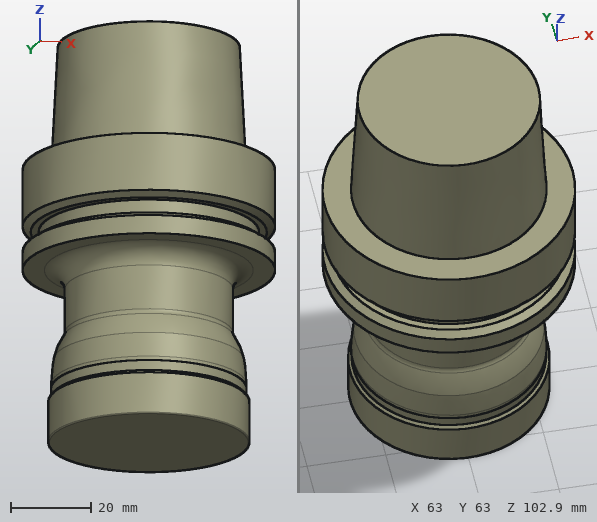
import cadquery as cq

TOTAL_HEIGHT = 102.9
FLANGE_TOP = 71.1
FLANGE_BOTTOM = 45.0
HEAD_HEIGHT = 14.1

SHANK_TOP_RADIUS = 45.5 / 2
SHANK_BASE_RADIUS = 48.8 / 2

FLANGE_RADIUS = 63.0 / 2
GROOVE_RADIUS = 55.0 / 2
GROOVE_TOP = 55.0
GROOVE_BOTTOM = 51.0
GROOVE_CHAMFER_HEIGHT = 1.3
GROOVE_CHAMFER_WIDTH = 2.1

NECK_RADIUS = 42.0 / 2
NECK_FILLET = 5.0
NECK_BOTTOM = 28.5
BELL_TOP = 27.2
BELL_TOP_RADIUS = 21.4
BELL_MIDDLE = 21.5
BELL_MIDDLE_RADIUS = 23.8
BELL_RADIUS = 48.8 / 2
BELL_BOTTOM = 15.1

WAIST_RADIUS = 24.3
WAIST_BOTTOM = 11.5
RIM_RADIUS = 25.1
RIM_TOP = 10.7
RIM_EDGE_ROUND = 0.3


def revolve_profile(profile):
    """Turn a closed (radius, height) outline about the Z axis."""
    return profile.close().revolve(360, (0, 0, 0), (0, 1, 0))


def make_holder():
    """Shank, grooved flange, neck and bell, turned in one piece."""
    chamfer_radius = FLANGE_RADIUS - GROOVE_CHAMFER_WIDTH
    profile = (
        cq.Workplane("XZ")
        .moveTo(0, HEAD_HEIGHT)
        .lineTo(BELL_RADIUS, HEAD_HEIGHT)
        .lineTo(BELL_RADIUS, BELL_BOTTOM)
        .tangentArcPoint((BELL_MIDDLE_RADIUS, BELL_MIDDLE), relative=False)
        .tangentArcPoint((BELL_TOP_RADIUS, BELL_TOP), relative=False)
        .tangentArcPoint((NECK_RADIUS, NECK_BOTTOM), relative=False)
        .lineTo(NECK_RADIUS, FLANGE_BOTTOM - NECK_FILLET)
        .tangentArcPoint((NECK_RADIUS + NECK_FILLET, FLANGE_BOTTOM), relative=False)
        .lineTo(FLANGE_RADIUS, FLANGE_BOTTOM)
        .lineTo(FLANGE_RADIUS, GROOVE_BOTTOM - GROOVE_CHAMFER_HEIGHT)
        .lineTo(chamfer_radius, GROOVE_BOTTOM)
        .lineTo(GROOVE_RADIUS, GROOVE_BOTTOM)
        .lineTo(GROOVE_RADIUS, GROOVE_TOP)
        .lineTo(chamfer_radius, GROOVE_TOP)
        .lineTo(FLANGE_RADIUS, GROOVE_TOP + GROOVE_CHAMFER_HEIGHT)
        .lineTo(FLANGE_RADIUS, FLANGE_TOP)
        .lineTo(SHANK_BASE_RADIUS, FLANGE_TOP)
        .lineTo(SHANK_TOP_RADIUS, TOTAL_HEIGHT)
        .lineTo(0, TOTAL_HEIGHT)
    )
    return revolve_profile(profile)


def make_cutting_head():
    """Cutting head with a bevelled rim, seated against the bottom of the bell."""
    profile = (
        cq.Workplane("XZ")
        .lineTo(RIM_RADIUS - RIM_EDGE_ROUND, 0)
        .tangentArcPoint((RIM_RADIUS, RIM_EDGE_ROUND), relative=False)
        .lineTo(RIM_RADIUS, RIM_TOP)
        .lineTo(WAIST_RADIUS, WAIST_BOTTOM)
        .lineTo(BELL_RADIUS, HEAD_HEIGHT)
        .lineTo(0, HEAD_HEIGHT)
    )
    return revolve_profile(profile)


holder = make_holder()
cutting_head = make_cutting_head()

result = cq.Compound.makeCompound([holder.val(), cutting_head.val()])